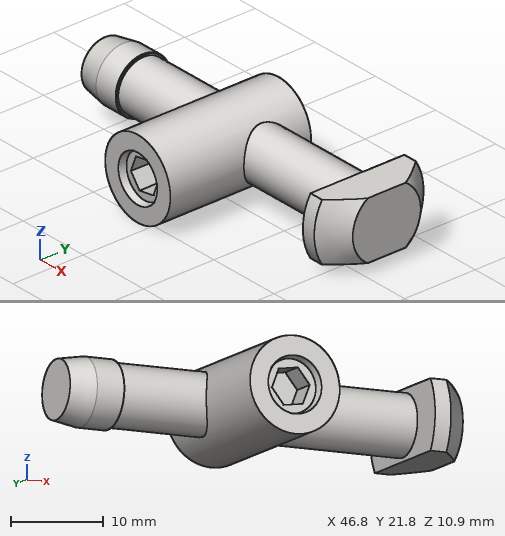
import cadquery as cq

total_length = 46.8
barrel_axis_from_tip = 21.8
tip_x = -barrel_axis_from_tip
head_end_x = tip_x + total_length

stem_radius = 3.55
collar_radius = 3.9
tip_radius = 3.35
taper_length = 3.0
collar_length = 6.35
collar_chamfer = 0.1

head_radius = 7.75
head_thickness = 4.85
head_rim_thickness = 1.9
head_width = 8.0
head_cone_length = head_thickness - head_rim_thickness
head_end_radius = head_radius - head_cone_length

barrel_radius = 5.45
barrel_front = 14.0
barrel_back = 6.0
recess_diameter = 6.45
recess_floor_diameter = 6.05
recess_depth = 1.0
socket_across_corners = 4.65
socket_depth = 4.0
socket_turn = 8.7


def make_stem():
    """Round stem and collar, revolved about X up to the inner face of the head."""
    collar_end = tip_x + collar_length
    profile = (
        cq.Workplane("XY")
        .moveTo(tip_x, 0)
        .lineTo(tip_x, tip_radius)
        .lineTo(tip_x + taper_length, collar_radius)
        .lineTo(collar_end - collar_chamfer, collar_radius)
        .lineTo(collar_end, collar_radius - collar_chamfer)
        .lineTo(collar_end, stem_radius)
        .lineTo(head_end_x - head_thickness, stem_radius)
        .lineTo(head_end_x - head_thickness, 0)
        .close()
    )
    return profile.revolve(360, (0, 0, 0), (1, 0, 0))


def make_head():
    """Disc with a conical outer edge, cut to parallel flats above and below."""
    inner_x = head_end_x - head_thickness
    disc = (
        cq.Workplane("XY")
        .moveTo(inner_x, 0)
        .lineTo(inner_x, head_radius)
        .lineTo(inner_x + head_rim_thickness, head_radius)
        .lineTo(head_end_x, head_end_radius)
        .lineTo(head_end_x, 0)
        .close()
        .revolve(360, (0, 0, 0), (1, 0, 0))
    )
    flats = (
        cq.Workplane("XY")
        .box(head_thickness, 2 * head_radius, head_width)
        .translate((inner_x + head_thickness / 2, 0, 0))
    )
    return disc.intersect(flats)


def make_barrel():
    """Cross cylinder running along Y."""
    return (
        cq.Workplane("XZ", origin=(0, barrel_back, 0))
        .circle(barrel_radius)
        .extrude(barrel_back + barrel_front)
    )


def make_socket():
    """Recess in the barrel's front face, narrowing to a floor with a hexagon socket."""
    recess = (
        cq.Workplane("XY")
        .moveTo(0, -barrel_front)
        .lineTo(recess_diameter / 2, -barrel_front)
        .lineTo(recess_floor_diameter / 2, -barrel_front + recess_depth)
        .lineTo(0, -barrel_front + recess_depth)
        .close()
        .revolve(360, (0, 0, 0), (0, 1, 0))
    )
    hexagon = (
        cq.Workplane("XZ", origin=(0, -barrel_front, 0))
        .polygon(6, socket_across_corners)
        .extrude(-socket_depth)
        .rotate((0, 0, 0), (0, 1, 0), -socket_turn)
    )
    return recess.union(hexagon)


result = make_stem().union(make_head()).union(make_barrel()).cut(make_socket())